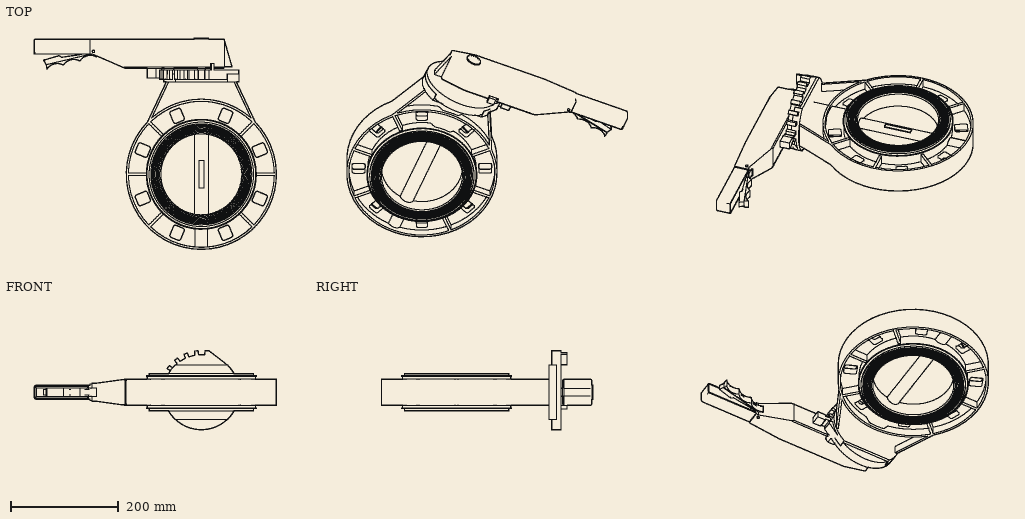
import cadquery as cq
import math


OVERLAP = 4.5
PICK_MARGIN = 0.5

RIM_RADIUS = 139.5
RIM_WALL = 4.0
RIM_INNER_RADIUS = RIM_RADIUS - RIM_WALL
RIM_HALF_HEIGHT = 24.5
WEB_HALF_THICKNESS = 7.0
HUB_RADIUS = 100.5
LIP_RADIUS = 204.0 / 2
LIP_HEIGHT = 2.0
HUB_HALF_HEIGHT = 30.5
SEAT_RADIUS = 194.0 / 2
SEAT_HALF_HEIGHT = 34.5
BORE_RADIUS = 150.0 / 2
BORE_CHAMFER = 2.2
GROOVE_COUNT = 4
GROOVE_FIRST_RADIUS = 79.5
GROOVE_PITCH = 4.0
GROOVE_WIDTH = 2.02
GROOVE_DEPTH = 1.5
RIB_WIDTH = 5.0
RIB_ANGLES = [0, 45, 135, 180, 225, 315]
BOLT_HOLE_COUNT = 8
BOLT_CIRCLE_RADIUS = 117.5
BOLT_HOLE_LENGTH = 24.0
BOLT_HOLE_WIDTH = 21.0
BOLT_HOLE_CORNER = 3.5

NECK_TOP_HALF_WIDTH = 65.0
NECK_BASE_HALF_WIDTH = 100.3
NECK_BASE_Y = 96.5
NECK_WALL = 4.0
NECK_BOSS_HALF_HEIGHT = 18.0
NECK_BOSS_TOP_HALF_WIDTH = 15.5
NECK_BOSS_CENTER_HALF_WIDTH = 28.5
NECK_BOSS_ROUND = 3.0
NECK_END_ROUND = 2.5

PLATE_RADIUS = 69.5
FLANGE_RADIUS = 70.0
FLANGE_BOTTOM_Y = 171.5
FLANGE_TOP_Y = 185.5
FLANGE_HALF_DEPTH = 51.0
HOOK_BOTTOM_Y = 176.3
PLATE_TOP_Y = 194.0
TOOTH_TIP_RADIUS = 77.5
TOOTH_WIDTH = 7.0
TOOTH_COUNT = 6
TOOTH_FIRST_ANGLE = 7.0
STOP_ANGLE = 5.0
STOP_CORNER = (14.0, 77.5)
TAB_HEIGHT = 11.2
TAB_WIDTH = 7.0
TAB_LENGTH = 22.5
TAB_X = 16.5

DISC_HALF_THICKNESS = 3.5
SHAFT_RADIUS = 13.5
STEM_RADIUS = 15.0 / 2
STEM_TOP_Y = 225.0
SLOT_WIDTH = 9.0
SLOT_LENGTH = 51.0
SLOT_DEPTH = 2.2

LEVER_START_X = -310.3
GRIP_END_X = -207.0
TAPER_BOTTOM_START_X = -202.5
BEAM_START_X = -141.5
BEAM_END_X = -3.0
LEVER_END_X = 43.0
LEVER_TOP_Y = 251.0
GRIP_BOTTOM_Y = 223.0
BEAM_BOTTOM_Y = 196.5
GRIP_HALF_WIDTH = 13.0
TAPER_HALF_WIDTH = 15.5
BEAM_HALF_WIDTH = 24.5
END_HALF_WIDTH = 12.0
LEVER_TOP_ROUND = 3.0
LEVER_BOTTOM_CHAMFER = 2.2
GRIP_END_ROUND = 4.5
BEAM_END_ROUND = 3.0
CHANNEL_START_X = -308.5
CHANNEL_END_X = -209.0
CHANNEL_HALF_WIDTH = 11.0
CHANNEL_DEPTH = 22.5
CHANNEL_DRAFT_ANGLE = 8
CAP_HEIGHT = 2.2
NOSE_LENGTH = 14.0
NOSE_BOTTOM_Y = 199.0
NOSE_HALF_WIDTH = 7.0

TRIGGER_HALF_WIDTH = 7.5
BLADE_HALF_WIDTH = 5.5
FIRST_CUSP = (-286.5, 194.5)
CUSP_STEP = (30.5, 7.5)
SCALLOP_COUNT = 3
SCALLOP_DEPTH = 6.5
PAD_BACK = [(-193.5, 225.7), (-288.0, 203.2)]
BLADE_BACK = [(-292.7, 212.0), (-263.5, 220.5), (-259.5, 217.0), (-216.5, 223.5), (-202.5, 228.0)]
PIVOT_RADIUS = 2.2
PIVOT_HALF_LENGTH = 17.0
PIVOT_CENTER = (-200.0, 228.0)
LATCH_START_X = -100.5
LATCH_LENGTH = 16.5
LATCH_BOTTOM_Y = 178.5
LATCH_HALF_WIDTH = 7.0
PAWL_TIP_X = -73.5
PAWL_HALF_WIDTH = 4.0


def box(x0, x1, y0, y1, z0, z1):
    """Block between two opposite corners."""
    return cq.Workplane("XY").box(x1 - x0, y1 - y0, z1 - z0, centered=False).translate((x0, y0, z0))


def disk(radius, half_height):
    """Cylinder on the bore axis, centred on Z = 0."""
    return cq.Workplane("XY").circle(radius).extrude(half_height, both=True)


def stem_cylinder(radius, y0, y1):
    """Cylinder on the stem axis from y0 to y1."""
    return cq.Workplane("XZ", origin=(0, y0, 0)).circle(radius).extrude(y0 - y1)


def extrude_xy(points, half_height):
    """Polygon in X and Y, extruded to both sides of Z = 0."""
    return cq.Workplane("XY").polyline(points).close().extrude(half_height, both=True)


def extrude_xz(points, y0, y1):
    """Polygon in X and Z, extruded from y0 to y1."""
    return cq.Workplane("XZ", origin=(0, y0, 0)).polyline(points).close().extrude(y0 - y1)


def neck_outline(inset):
    """Trapezoid of the neck, with its slanted sides moved inward."""
    slope = (NECK_BASE_HALF_WIDTH - NECK_TOP_HALF_WIDTH) / (FLANGE_BOTTOM_Y - NECK_BASE_Y)
    side_inset = inset * math.hypot(1, slope)
    base = NECK_BASE_HALF_WIDTH - side_inset
    top = NECK_TOP_HALF_WIDTH - side_inset
    return [(-base, NECK_BASE_Y), (base, NECK_BASE_Y), (top, FLANGE_BOTTOM_Y), (-top, FLANGE_BOTTOM_Y)]


def flange_slab():
    """Slab between the two flats of the flange."""
    return box(-RIM_RADIUS, RIM_RADIUS, FLANGE_BOTTOM_Y, FLANGE_TOP_Y, -FLANGE_HALF_DEPTH, FLANGE_HALF_DEPTH)


def neck_core():
    """Web, sloped stem boss and flange underside, with the rounds where they meet."""
    top, center = NECK_BOSS_TOP_HALF_WIDTH, NECK_BOSS_CENTER_HALF_WIDTH
    height = NECK_BOSS_HALF_HEIGHT
    outline = [(-center, 0), (-top, height), (top, height), (center, 0), (top, -height), (-top, -height)]
    boss = extrude_xz(outline, 0, FLANGE_BOTTOM_Y)
    boss = boss.edges("|Y").edges(">Z or <Z").fillet(NECK_BOSS_ROUND)
    web = box(-RIM_RADIUS, RIM_RADIUS, 0, FLANGE_BOTTOM_Y, -WEB_HALF_THICKNESS, WEB_HALF_THICKNESS)
    core = boss.union(web)
    root_edges = cq.selectors.BoxSelector(
        (-center, 0, -WEB_HALF_THICKNESS - PICK_MARGIN),
        (center, FLANGE_BOTTOM_Y, WEB_HALF_THICKNESS + PICK_MARGIN),
    )
    core = core.edges("|Y").edges(root_edges).fillet(NECK_BOSS_ROUND)
    core = core.union(flange_slab())
    end_edges = cq.selectors.BoxSelector(
        (-RIM_RADIUS + OVERLAP, FLANGE_BOTTOM_Y - PICK_MARGIN, -NECK_BOSS_HALF_HEIGHT - PICK_MARGIN),
        (RIM_RADIUS - OVERLAP, FLANGE_BOTTOM_Y + PICK_MARGIN, NECK_BOSS_HALF_HEIGHT + PICK_MARGIN),
    )
    return core.edges(end_edges).fillet(NECK_END_ROUND)


def bolt_holes():
    return (
        cq.Workplane("XY")
        .polarArray(BOLT_CIRCLE_RADIUS, 180 / BOLT_HOLE_COUNT, 360, BOLT_HOLE_COUNT)
        .rect(BOLT_HOLE_LENGTH, BOLT_HOLE_WIDTH)
        .extrude(RIM_HALF_HEIGHT, both=True)
        .edges("|Z")
        .fillet(BOLT_HOLE_CORNER)
    )


def ring_ribs():
    """Radial ribs between the hub and the rim."""
    ribs = cq.Workplane("XY")
    for angle in RIB_ANGLES:
        rib = box(0, RIM_RADIUS, -RIB_WIDTH / 2, RIB_WIDTH / 2, -RIM_HALF_HEIGHT, RIM_HALF_HEIGHT)
        ribs = ribs.add(rib.rotate((0, 0, 0), (0, 0, 1), angle))
    return ribs.combine()


def housing_frame():
    """Ring and neck, recessed on both sides down to the web, ribs and stem bosses."""
    ring = disk(RIM_RADIUS, RIM_HALF_HEIGHT)
    ring_recess = disk(RIM_INNER_RADIUS, RIM_HALF_HEIGHT).cut(ring_ribs())
    neck_recess = extrude_xy(neck_outline(NECK_WALL), RIM_HALF_HEIGHT).cut(ring)
    lower_boss = stem_cylinder(SHAFT_RADIUS, -RIM_RADIUS, 0)
    recess = ring_recess.union(neck_recess)
    recess = recess.cut(disk(RIM_RADIUS, WEB_HALF_THICKNESS)).cut(lower_boss).cut(neck_core())
    frame = ring.union(extrude_xy(neck_outline(0), RIM_HALF_HEIGHT))
    return frame.cut(recess).cut(bolt_holes())


def housing_hub():
    """Hub with a lip at each end and a grooved seat face."""
    hub = disk(HUB_RADIUS, HUB_HALF_HEIGHT)
    lip = disk(LIP_RADIUS, HUB_HALF_HEIGHT).cut(disk(LIP_RADIUS, HUB_HALF_HEIGHT - LIP_HEIGHT))
    hub = hub.union(lip).union(disk(SEAT_RADIUS, SEAT_HALF_HEIGHT))
    for index in range(GROOVE_COUNT):
        radius = GROOVE_FIRST_RADIUS + index * GROOVE_PITCH
        groove = disk(radius + GROOVE_WIDTH, SEAT_HALF_HEIGHT).cut(disk(radius, SEAT_HALF_HEIGHT))
        hub = hub.cut(groove.cut(disk(RIM_RADIUS, SEAT_HALF_HEIGHT - GROOVE_DEPTH)))
    return hub


def bore():
    """Bore with a chamfer at each mouth."""
    mouth = BORE_RADIUS + BORE_CHAMFER
    chamfer_start = SEAT_HALF_HEIGHT - BORE_CHAMFER
    outline = [
        (0, -SEAT_HALF_HEIGHT),
        (mouth, -SEAT_HALF_HEIGHT),
        (BORE_RADIUS, -chamfer_start),
        (BORE_RADIUS, chamfer_start),
        (mouth, SEAT_HALF_HEIGHT),
        (0, SEAT_HALF_HEIGHT),
    ]
    return cq.Workplane("XZ").polyline(outline).close().revolve(360, (0, 0), (0, 1))


def mirror_diagonal(point):
    """Mirror a point in X and Z across the diagonal of the toothed quarter."""
    return (-point[1], -point[0])


def stop_outline():
    """Stop with one radial face, and a straight side tangent to the plate."""
    corner_radius = math.hypot(*STOP_CORNER)
    corner_angle = math.atan2(STOP_CORNER[0], STOP_CORNER[1])
    tangent_angle = corner_angle + math.acos(PLATE_RADIUS / corner_radius)
    tangent = (PLATE_RADIUS * math.sin(tangent_angle), PLATE_RADIUS * math.cos(tangent_angle))
    face_x = STOP_CORNER[1] * math.tan(math.radians(STOP_ANGLE))
    return [(0, 0), (face_x, STOP_CORNER[1]), STOP_CORNER, tangent]


def plate_blank(y0, y1):
    """Round plate with its ratchet teeth and the two stops."""
    blank = stem_cylinder(PLATE_RADIUS, y0, y1)
    pitch = (90 - 2 * TOOTH_FIRST_ANGLE) / (TOOTH_COUNT - 1)
    half_width = TOOTH_WIDTH / 2
    for index in range(TOOTH_COUNT):
        tooth = box(-half_width, half_width, y0, y1, PLATE_RADIUS - OVERLAP, TOOTH_TIP_RADIUS)
        blank = blank.union(tooth.rotate((0, 0, 0), (0, 1, 0), -(TOOTH_FIRST_ANGLE + index * pitch)))
    outline = stop_outline()
    blank = blank.union(extrude_xz(outline, y0, y1))
    return blank.union(extrude_xz([mirror_diagonal(point) for point in outline], y0, y1))


def notched_plate():
    """Plate that hooks over both flats of the flange, with the two lever stop tabs."""
    plate = plate_blank(HOOK_BOTTOM_Y, PLATE_TOP_Y)
    tab_top_y = PLATE_TOP_Y + TAB_HEIGHT
    upper_tab = box(
        TAB_X, TAB_X + TAB_WIDTH, PLATE_TOP_Y, tab_top_y, FLANGE_HALF_DEPTH, FLANGE_HALF_DEPTH + TAB_LENGTH
    )
    lower_tab = box(
        -FLANGE_HALF_DEPTH - TAB_LENGTH,
        -FLANGE_HALF_DEPTH,
        PLATE_TOP_Y,
        tab_top_y,
        -BEAM_HALF_WIDTH - TAB_WIDTH,
        -BEAM_HALF_WIDTH,
    )
    tabs = upper_tab.union(lower_tab).intersect(plate_blank(PLATE_TOP_Y, tab_top_y))
    return plate.union(tabs)


def mounting_flange():
    """Round flange with a flat on the upper and lower side."""
    return stem_cylinder(FLANGE_RADIUS, FLANGE_BOTTOM_Y, FLANGE_TOP_Y).intersect(flange_slab())


def build_housing():
    housing = housing_frame().union(housing_hub()).union(mounting_flange()).union(notched_plate())
    return housing.cut(bore()).cut(stem_cylinder(SHAFT_RADIUS, 0, PLATE_TOP_Y))


def build_disc():
    """Closing disc with its shaft and the thinner stem that enters the lever."""
    shaft = stem_cylinder(SHAFT_RADIUS, -RIM_RADIUS, 0).intersect(disk(BORE_RADIUS, SHAFT_RADIUS))
    disc = disk(BORE_RADIUS, DISC_HALF_THICKNESS).union(shaft)
    disc = disc.union(stem_cylinder(SHAFT_RADIUS, 0, PLATE_TOP_Y))
    disc = disc.union(stem_cylinder(STEM_RADIUS, 0, STEM_TOP_Y))
    slot = box(
        -SLOT_WIDTH / 2,
        SLOT_WIDTH / 2,
        -SLOT_LENGTH / 2,
        SLOT_LENGTH / 2,
        SHAFT_RADIUS - SLOT_DEPTH,
        SHAFT_RADIUS,
    )
    return disc.cut(slot)


def lever_arm():
    """Grip that widens and deepens into the beam over the plate."""
    side = [
        (LEVER_START_X, LEVER_TOP_Y),
        (LEVER_END_X, LEVER_TOP_Y),
        (LEVER_END_X, BEAM_BOTTOM_Y),
        (BEAM_START_X, BEAM_BOTTOM_Y),
        (TAPER_BOTTOM_START_X, GRIP_BOTTOM_Y),
        (LEVER_START_X, GRIP_BOTTOM_Y),
    ]
    half_plan = [
        (LEVER_START_X, GRIP_HALF_WIDTH),
        (GRIP_END_X, GRIP_HALF_WIDTH),
        (GRIP_END_X, TAPER_HALF_WIDTH),
        (BEAM_START_X, BEAM_HALF_WIDTH),
        (BEAM_END_X, BEAM_HALF_WIDTH),
        (LEVER_END_X, END_HALF_WIDTH),
    ]
    plan = half_plan + [(x, -z) for x, z in reversed(half_plan)]
    arm = extrude_xy(side, BEAM_HALF_WIDTH).intersect(extrude_xz(plan, BEAM_BOTTOM_Y, LEVER_TOP_Y))
    arm = arm.faces("<X").edges("|Y").fillet(GRIP_END_ROUND)
    arm = arm.faces(">X").edges("|Y").fillet(BEAM_END_ROUND)
    arm = arm.faces(">Y").edges().fillet(LEVER_TOP_ROUND)
    arm = arm.faces("<Y").edges("not |Z").chamfer(LEVER_BOTTOM_CHAMFER)
    return arm.cut(grip_channel())


def grip_channel():
    """Channel in the underside of the grip, narrowing toward its floor."""
    length = CHANNEL_END_X - CHANNEL_START_X
    return (
        cq.Workplane("XZ", origin=(CHANNEL_START_X + length / 2, GRIP_BOTTOM_Y, 0))
        .rect(length, 2 * CHANNEL_HALF_WIDTH)
        .extrude(-CHANNEL_DEPTH, taper=CHANNEL_DRAFT_ANGLE)
    )


def lever_nose():
    """Wedge on the end of the lever."""
    outline = [
        (LEVER_END_X - OVERLAP, LEVER_TOP_Y - LEVER_TOP_ROUND),
        (LEVER_END_X, LEVER_TOP_Y - LEVER_TOP_ROUND),
        (LEVER_END_X + NOSE_LENGTH, NOSE_BOTTOM_Y),
        (LEVER_END_X - OVERLAP, NOSE_BOTTOM_Y),
    ]
    return extrude_xy(outline, NOSE_HALF_WIDTH)


def trigger():
    """Scalloped finger pad with a thinner blade that joins it to the grip."""
    cusps = [
        (FIRST_CUSP[0] + index * CUSP_STEP[0], FIRST_CUSP[1] + index * CUSP_STEP[1])
        for index in range(SCALLOP_COUNT + 1)
    ]
    pad = cq.Workplane("XY").moveTo(*cusps[0])
    for start, end in zip(cusps, cusps[1:]):
        middle = ((start[0] + end[0]) / 2, (start[1] + end[1]) / 2 + SCALLOP_DEPTH)
        pad = pad.threePointArc(middle, end)
    for point in PAD_BACK:
        pad = pad.lineTo(*point)
    pad = pad.close().extrude(TRIGGER_HALF_WIDTH, both=True)
    return pad.union(extrude_xy(PAD_BACK + BLADE_BACK, BLADE_HALF_WIDTH))


def latch():
    """Block under the beam with a pawl that enters the last tooth gap."""
    latch_end_x = LATCH_START_X + LATCH_LENGTH
    latch_top_y = BEAM_BOTTOM_Y + OVERLAP
    block = box(LATCH_START_X, latch_end_x, LATCH_BOTTOM_Y, latch_top_y, -LATCH_HALF_WIDTH, LATCH_HALF_WIDTH)
    pawl = box(latch_end_x, PAWL_TIP_X, LATCH_BOTTOM_Y, latch_top_y, -PAWL_HALF_WIDTH, PAWL_HALF_WIDTH)
    return block.union(pawl)


def build_lever():
    pivot = cq.Workplane("XY").center(*PIVOT_CENTER).circle(PIVOT_RADIUS)
    pivot = pivot.extrude(PIVOT_HALF_LENGTH, both=True)
    cap = stem_cylinder(SHAFT_RADIUS, LEVER_TOP_Y - OVERLAP, LEVER_TOP_Y + CAP_HEIGHT)
    lever = lever_arm().union(cap).union(lever_nose()).union(trigger()).union(pivot).union(latch())
    return lever.cut(stem_cylinder(STEM_RADIUS, 0, STEM_TOP_Y))


housing = build_housing()
disc = build_disc()
lever = build_lever()

result = cq.Compound.makeCompound([body.solids().val() for body in (housing, disc, lever)])